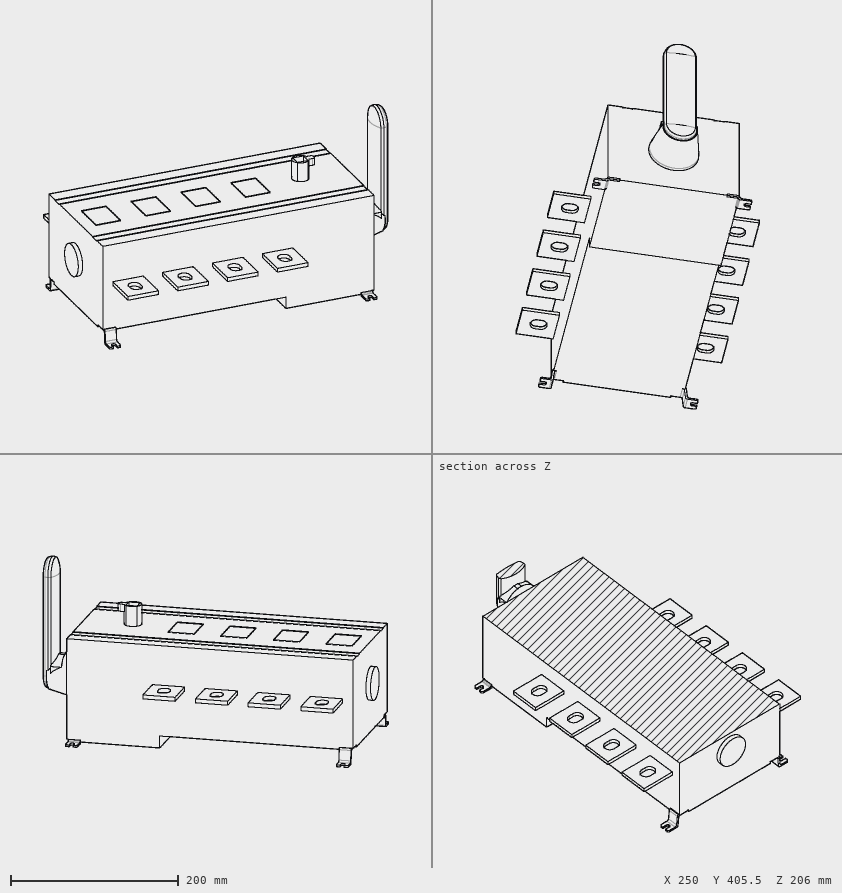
import cadquery as cq
import math


body_width = 160.0
body_length = 353.5
body_top = 129.5
body_bottom = 17.0
block_length = 115.0
block_bottom = 2.0
half_width = body_width / 2

mark_depth = 1.0
strip_inner_x = 49.5
strip_width = 12.0
window_width = 43.5
window_length = 32.0

pole_count = 4
pole_pitch = 65.0
first_pole_y = 33.0
pole_positions = [first_pole_y + i * pole_pitch for i in range(pole_count)]

terminal_span = 250.0
terminal_width = 39.8
terminal_thickness = 5.0
terminal_z = 78.0
slot_length = 20.5
slot_width = 14.5
slot_from_end = 23.5

disc_radius = 20.5
disc_height = 5.5

bracket_width = 14.5
bracket_inset = 2.5
sheet = 2.5
flange_depth = 14.5
leg_overhang = 1.2
leg_slant = 1.5
flange_inner_x = half_width - flange_depth
leg_top_x = half_width + leg_overhang
leg_bottom_x = leg_top_x + leg_slant
front_bend_radius = 2.5
rear_bend_radius = 1.0
foot_end_x = 96.0
fork_inner_x = 87.5
fork_width = 5.0
fork_corner = 2.0

socket_from_rear = 61.0
socket_y = body_length - socket_from_rear
socket_radius = 10.5
socket_height = 24.8
square_hole = 14.0
tab_radius = 4.0
tab_reach = 14.2
tab_thickness = 9.0

axis_z = 62.5
knob_radius = 30.5
rim_radius = 30.0
rim_height = 3.2
knob_end_radius = 21.0
knob_length = 40.5
hub_start = 22.0
hub_half_width = 22.0
hub_crest_half_width = 3.2
hub_crest = 23.5
hub_eave = 13.0

lever_radius = 20.5
lever_top = 206.0
lever_inner = 30.0
lever_edge = 35.5
lever_widest = 39.0
lever_shoulder = 42.5
lever_crown = 45.5
lever_outer = 46.5
lever_edge_radius = 19.5
lever_crown_radius = 17.5
lever_length = lever_top - lever_radius - axis_z


def box(x0, x1, y0, y1, z0, z1):
    """Box between two opposite corners."""
    return cq.Workplane("XY").box(x1 - x0, y1 - y0, z1 - z0, centered=False).translate((x0, y0, z0))


def both_sides(shape):
    """A shape together with its mirror image across the YZ plane."""
    return shape.union(shape.mirror("YZ"))


def housing():
    body = box(-half_width, half_width, 0, body_length, body_bottom, body_top)
    block = box(-half_width, half_width, body_length - block_length, body_length, block_bottom, body_top)
    body = body.union(block)
    strip = box(strip_inner_x, strip_inner_x + strip_width, 0, body_length, body_top - mark_depth, body_top)
    body = body.cut(both_sides(strip))
    windows = (
        cq.Workplane("XY", origin=(0, 0, body_top - mark_depth))
        .pushPoints([(0, y) for y in pole_positions])
        .rect(window_width, window_length)
        .extrude(mark_depth)
    )
    body = body.cut(windows)
    notch_length = bracket_inset + bracket_width
    front = box(flange_inner_x, half_width, 0, notch_length, body_bottom, body_bottom + sheet)
    rear_start = body_length - notch_length
    rear = box(flange_inner_x, half_width, rear_start, body_length, block_bottom, block_bottom + sheet)
    return body.cut(both_sides(front)).cut(both_sides(rear))


def terminal(y):
    """Bar through the housing with a slotted tab on each side."""
    slot_x = terminal_span / 2 - slot_from_end
    return (
        cq.Workplane("XY", origin=(0, y, terminal_z - terminal_thickness / 2))
        .rect(terminal_span, terminal_width)
        .extrude(terminal_thickness)
        .faces(">Z")
        .workplane(origin=(0, y, 0))
        .pushPoints([(-slot_x, 0), (slot_x, 0)])
        .slot2D(slot_length, slot_width)
        .cutThruAll()
    )


def brackets(y_start, flange_z, bend_radius):
    """Pair of bent sheet brackets with their flanges' undersides at flange_z."""
    outline = [
        (flange_inner_x, flange_z + sheet),
        (leg_top_x, flange_z + sheet),
        (leg_bottom_x, sheet),
        (foot_end_x, sheet),
        (foot_end_x, 0),
        (leg_bottom_x - sheet, 0),
        (leg_top_x - sheet, flange_z),
        (flange_inner_x, flange_z),
    ]
    y_end = y_start + bracket_width
    strip = cq.Workplane("XZ", origin=(0, y_end, 0)).polyline(outline).close().extrude(bracket_width)
    strip = strip.edges("|Z and >X").fillet(fork_corner)
    leg_region = cq.selectors.BoxSelector(
        (leg_top_x - 2 * sheet, y_start, -sheet),
        (leg_bottom_x + sheet, y_end, flange_z + 2 * sheet),
    )
    strip = strip.edges("|Y").edges(leg_region).fillet(bend_radius)
    fork_length = 2 * (foot_end_x - fork_inner_x)
    fork = (
        cq.Workplane("XY", origin=(foot_end_x, y_start + bracket_width / 2, 0))
        .slot2D(fork_length, fork_width)
        .extrude(sheet)
    )
    return both_sides(strip.cut(fork))


def end_disc():
    return cq.Workplane("XZ", origin=(0, 0, terminal_z)).circle(disc_radius).extrude(disc_height)


def indicator_socket():
    """Hollow post with a rounded tab pointing to the lever end."""
    socket_top = body_top + socket_height
    post = cq.Workplane("XY", origin=(0, socket_y, body_top)).circle(socket_radius).extrude(socket_height)
    tab = (
        cq.Workplane("XY", origin=(0, socket_y, socket_top - tab_thickness))
        .moveTo(-tab_radius, 0)
        .lineTo(-tab_radius, tab_reach)
        .threePointArc((0, tab_reach + tab_radius), (tab_radius, tab_reach))
        .lineTo(tab_radius, 0)
        .close()
        .extrude(tab_thickness)
    )
    hole = (
        cq.Workplane("XY", origin=(0, socket_y, body_top))
        .rect(square_hole, square_hole)
        .extrude(socket_height)
    )
    return post.union(tab).cut(hole)


def knob():
    """Cone with its crown replaced by a faceted hub under the lever."""
    cone = (
        cq.Workplane("XY", origin=(0, body_length, axis_z))
        .lineTo(knob_radius, 0)
        .lineTo(rim_radius, rim_height)
        .lineTo(knob_end_radius, knob_length)
        .lineTo(0, knob_length)
        .close()
        .revolve(360, (0, 0, 0), (0, 1, 0))
    )
    hub_length = lever_edge - hub_start
    hub_outline = [
        (-hub_half_width, 0),
        (-hub_half_width, hub_eave),
        (-hub_crest_half_width, hub_crest),
        (hub_crest_half_width, hub_crest),
        (hub_half_width, hub_eave),
        (hub_half_width, 0),
    ]
    hub = (
        cq.Workplane("XZ", origin=(0, body_length + hub_start, axis_z))
        .polyline(hub_outline)
        .close()
        .extrude(-hub_length)
    )
    cap = box(
        -knob_radius,
        knob_radius,
        body_length + hub_start,
        body_length + knob_length,
        axis_z + hub_eave,
        axis_z + knob_radius,
    )
    return cone.cut(cap).union(hub)


def half_chord_sag(half_chord, sag):
    """Drop from the crest of an arc, halfway out to its end."""
    arc_radius = (half_chord ** 2 + sag ** 2) / (2 * sag)
    return arc_radius - math.sqrt(arc_radius ** 2 - (half_chord / 2) ** 2)


def lever_profile(height):
    """Half section of the lever: distance from its mid-line against distance from the housing."""
    mid_x = lever_edge_radius / 2
    mid_y = lever_inner + half_chord_sag(lever_edge_radius, lever_edge - lever_inner)
    crown_mid_x = lever_crown_radius / 2
    crown_mid_y = lever_outer - half_chord_sag(lever_crown_radius, lever_outer - lever_crown)
    return (
        cq.Workplane("XY", origin=(0, body_length, height))
        .moveTo(0, lever_inner)
        .threePointArc((mid_x, mid_y), (lever_edge_radius, lever_edge))
        .lineTo(lever_radius, lever_widest)
        .lineTo(lever_edge_radius, lever_shoulder)
        .tangentArcPoint((lever_crown_radius, lever_crown), relative=False)
        .threePointArc((crown_mid_x, crown_mid_y), (0, lever_outer))
        .close()
    )


def lever():
    top_axis = axis_z + lever_length
    lower_end = lever_profile(axis_z).revolve(360, (0, 0, 0), (0, 1, 0))
    upper_end = lever_profile(top_axis).revolve(360, (0, 0, 0), (0, 1, 0))
    shank = both_sides(lever_profile(axis_z).extrude(lever_length))
    return shank.union(lower_end).union(upper_end)


result = housing()
for pole_y in pole_positions:
    result = result.union(terminal(pole_y))
result = result.union(brackets(bracket_inset, body_bottom, front_bend_radius))
rear_bracket_y = body_length - bracket_inset - bracket_width
result = result.union(brackets(rear_bracket_y, block_bottom, rear_bend_radius))
result = result.union(end_disc())
result = result.union(indicator_socket())
result = result.union(knob())
result = result.union(lever())